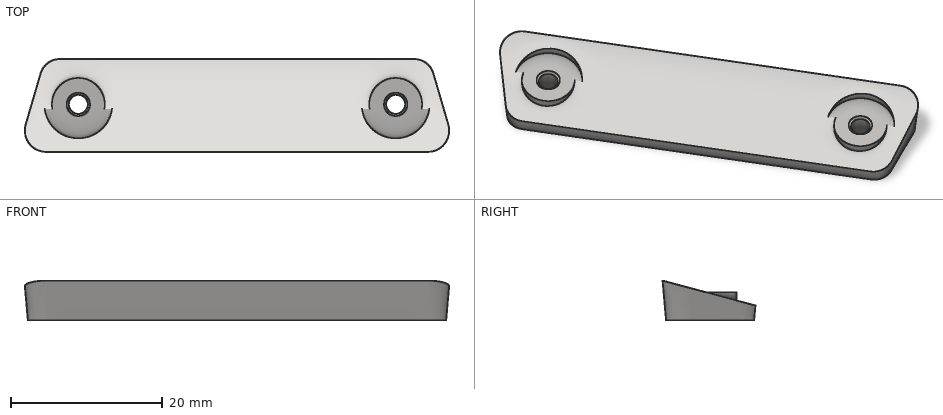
import cadquery as cq
import math

base_depth = 11.695
front_length = 56.89
end_angle = 15.0
corner_radius = 2.45
draft_angle = 5.0

top_slope = 15.0
front_height = 5.28

hole_spacing = 42.0
hole_diameter = 2.5
hole_chamfer = 0.3
boss_diameter = 7.0
recess_diameter = 9.0
seat_height = 3.75

cut_allowance = 1.0
half_depth = base_depth / 2
front_half_length = front_length / 2
back_half_length = front_half_length - base_depth * math.tan(math.radians(end_angle))
front_edge_y = -half_depth - front_height * math.tan(math.radians(draft_angle))
blank_height = front_height + cut_allowance


def make_body():
    """Drafted trapezoid with rounded corners, cut by the sloping top plane."""
    outline = (
        cq.Sketch()
        .polygon([
            (-front_half_length, -half_depth),
            (front_half_length, -half_depth),
            (back_half_length, half_depth),
            (-back_half_length, half_depth),
            (-front_half_length, -half_depth),
        ])
        .vertices()
        .fillet(corner_radius)
    )
    blank = cq.Workplane("XY").placeSketch(outline).extrude(blank_height, taper=-draft_angle)
    cutter_size = 2 * front_length
    above_top = (
        cq.Workplane("XY")
        .box(cutter_size, cutter_size, cutter_size, centered=(True, True, False))
        .rotate((0, 0, 0), (1, 0, 0), -top_slope)
        .translate((0, front_edge_y, front_height))
    )
    return blank.cut(above_top)


def add_screw_seat(body, x):
    """Level seat: recessed into the high side, raised as a boss on the low side, with a through hole."""
    base = cq.Workplane("XY").center(x, 0)
    boss = base.circle(boss_diameter / 2).extrude(seat_height)
    recess = base.workplane(offset=seat_height).circle(recess_diameter / 2).extrude(front_height)
    hole = base.circle(hole_diameter / 2).extrude(seat_height)
    countersink = (
        base.workplane(offset=seat_height)
        .circle(hole_diameter / 2 + hole_chamfer)
        .workplane(offset=-hole_chamfer)
        .circle(hole_diameter / 2)
        .loft()
    )
    return body.union(boss).cut(recess).cut(hole).cut(countersink)


result = make_body()
for side in (-1, 1):
    result = add_screw_seat(result, side * hole_spacing / 2)